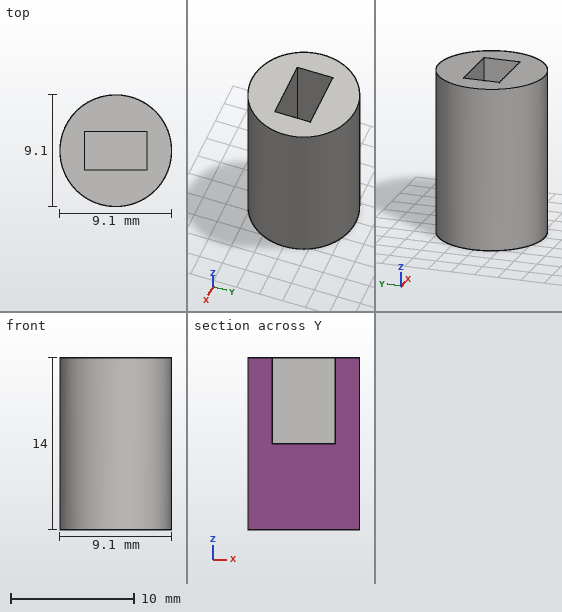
import cadquery as cq

body_diameter = 9.1
body_height = 14

socket_length = 5.08
socket_width = 3.1
socket_depth = body_height / 2

body = cq.Workplane("XY").circle(body_diameter / 2).extrude(body_height)

result = (
    body.faces(">Z")
    .workplane()
    .rect(socket_length, socket_width)
    .cutBlind(-socket_depth)
)